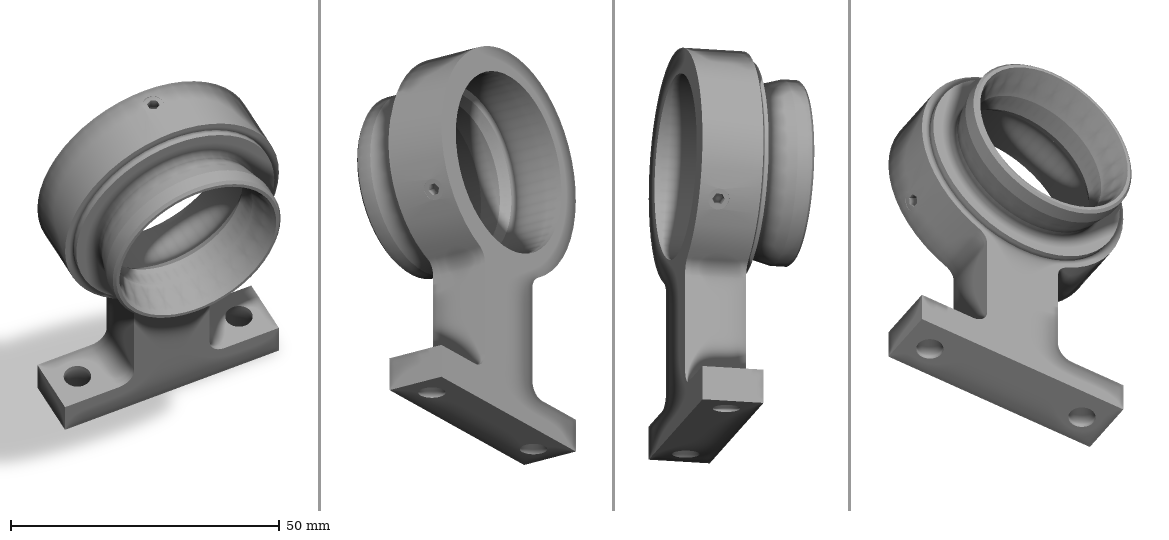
import cadquery as cq
import math

total_height = 73.0
ring_radius = 44.5 / 2
axis_height = total_height - ring_radius
total_length = 22.65

ring_length = 11.7
flange_end = 13.1
flange_radius = 20.6
neck_end = 14.6
neck_radius = 16.2
neck_fillet = 0.65
flare_end = 19.35
head_radius = 17.45
head_chamfer = 0.5

seat_radius = 17.45
seat_depth = 10.15
step_radius = 15.8
throat_start = 11.9
throat_end = 16.15
throat_radius = 14.5
exit_radius = 16.3

base_height = 6.4
web_width = 15.7
web_fillet = 3.15
hole_diameter = 5.1
hole_spacing = 33.6

screw_count = 3
screw_x = 3.8
screw_diameter = 4.0
screw_recess = 0.1
hex_flats = 2.05
hex_depth = 2.0


def revolve_about_axis(profile):
    """Turn a closed (x, radius) sketch around the ring axis."""
    turned = profile.close().revolve(360, (0, 0, 0), (1, 0, 0))
    return turned.translate((0, 0, axis_height))


def make_stand():
    """Ring disc, web and foot as one plate with blended inner corners."""
    front = cq.Workplane("YZ")
    disc = front.center(0, axis_height).circle(ring_radius).extrude(ring_length)
    web = front.center(0, axis_height / 2).rect(web_width, axis_height).extrude(ring_length)
    foot = front.center(0, base_height / 2).rect(2 * ring_radius, base_height).extrude(ring_length)
    plate = disc.union(web).union(foot)

    half_web = web_width / 2
    margin = 0.1
    corners = plate.edges(
        cq.selectors.BoxSelector(
            (-margin, -half_web - margin, base_height - margin),
            (ring_length + margin, half_web + margin, axis_height - half_web),
        )
    ).edges("|X")
    return corners.fillet(web_fillet)


def make_barrel():
    """Flange, filleted neck and flared head behind the ring."""
    fillet_mid = neck_fillet * (1 - math.sqrt(0.5))
    profile = (
        cq.Workplane("XY")
        .moveTo(0, 0)
        .lineTo(0, flange_radius)
        .lineTo(flange_end, flange_radius)
        .lineTo(flange_end, neck_radius + neck_fillet)
        .threePointArc(
            (flange_end + fillet_mid, neck_radius + fillet_mid),
            (flange_end + neck_fillet, neck_radius),
        )
        .lineTo(neck_end, neck_radius)
        .lineTo(flare_end, head_radius)
        .lineTo(total_length - head_chamfer, head_radius)
        .lineTo(total_length, head_radius - head_chamfer)
        .lineTo(total_length, 0)
    )
    return revolve_about_axis(profile)


def make_bore():
    """Seat counterbore, shallow step, tapered lead-in, throat and flared exit."""
    profile = (
        cq.Workplane("XY")
        .moveTo(0, 0)
        .lineTo(0, seat_radius)
        .lineTo(seat_depth, seat_radius)
        .lineTo(seat_depth, step_radius)
        .lineTo(throat_start, throat_radius)
        .lineTo(throat_end, throat_radius)
        .lineTo(total_length, exit_radius)
        .lineTo(total_length, 0)
    )
    return revolve_about_axis(profile)


def make_foot_holes():
    """Two vertical clearance holes through the foot."""
    half_spacing = hole_spacing / 2
    return (
        cq.Workplane("XY")
        .pushPoints([(ring_length / 2, -half_spacing), (ring_length / 2, half_spacing)])
        .circle(hole_diameter / 2)
        .extrude(base_height)
    )


def make_screw_cut(angle):
    """Flat screw face with a hexagon socket, turned about the ring axis."""
    face_radius = ring_radius - screw_recess
    hex_corners = hex_flats / math.cos(math.pi / 6)
    face = (
        cq.Workplane("XY", origin=(screw_x, 0, face_radius))
        .circle(screw_diameter / 2)
        .extrude(2 * screw_recess)
    )
    socket = (
        cq.Workplane("XY", origin=(screw_x, 0, face_radius))
        .polygon(6, hex_corners)
        .extrude(-hex_depth)
    )
    cut = face.union(socket)
    return cut.rotate((0, 0, 0), (1, 0, 0), angle).translate((0, 0, axis_height))


result = make_stand().union(make_barrel()).cut(make_bore()).cut(make_foot_holes())
for index in range(screw_count):
    result = result.cut(make_screw_cut(index * 360 / screw_count))